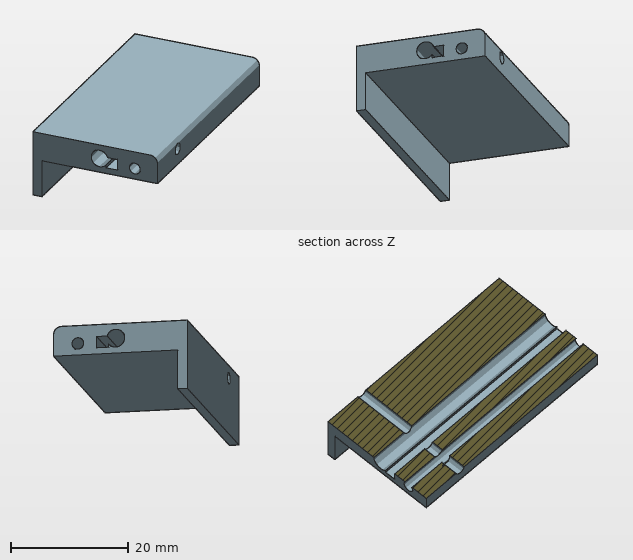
import cadquery as cq

width = 23.35
length = 42.05
height = 12.0

plate_thickness = 5.17
flange_thickness = 1.7
edge_radius = 1.45

hole_diameter = 2.0
long_hole_x = 19.1
long_hole_depth = 3.15
cross_hole_y = 8.35
cross_hole_depth = 2.25

keyhole_diameter = 3.1
keyhole_x = 12.5
keyhole_depth = 2.55
slot_left = 13.7
slot_right = 15.8
slot_top_depth = 2.1
slot_bottom_depth = 4.1


def lengthwise_hole(x, depth, diameter):
    """Round hole running the full length along Y."""
    return (
        cq.Workplane("XZ")
        .center(x, height - depth)
        .circle(diameter / 2)
        .extrude(-length)
    )


def make_body():
    """L-shaped bar: a thick plate with a thin flange hanging from one edge."""
    plate_bottom = height - plate_thickness
    bar = (
        cq.Workplane("XZ")
        .moveTo(0, 0)
        .lineTo(flange_thickness, 0)
        .lineTo(flange_thickness, plate_bottom)
        .lineTo(width, plate_bottom)
        .lineTo(width, height)
        .lineTo(0, height)
        .close()
        .extrude(-length)
    )
    return bar.edges("|Y and >X and >Z").fillet(edge_radius)


def make_keyhole():
    """Round channel with a rectangular slot opening off its side."""
    slot = cq.Workplane("XY").box(
        slot_right - slot_left,
        length,
        slot_bottom_depth - slot_top_depth,
        centered=False,
    ).translate((slot_left, 0, height - slot_bottom_depth))
    return lengthwise_hole(keyhole_x, keyhole_depth, keyhole_diameter).union(slot)


def make_cross_hole():
    """Round hole running the full width along X, just clipping the rounded edge."""
    return (
        cq.Workplane("YZ")
        .center(cross_hole_y, height - cross_hole_depth)
        .circle(hole_diameter / 2)
        .extrude(width)
    )


result = (
    make_body()
    .cut(make_keyhole())
    .cut(lengthwise_hole(long_hole_x, long_hole_depth, hole_diameter))
    .cut(make_cross_hole())
)